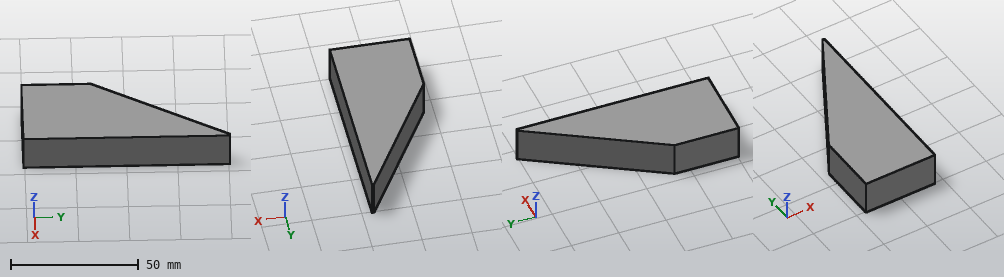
import cadquery as cq
import math

length = 81.0
width = 32.0
thickness = 15.0
short_side = 27.1
taper_angle = 30.0

taper_run = (length - short_side) * math.tan(math.radians(taper_angle))
tip_width = width - taper_run

outline = [
    (0, 0),
    (width, 0),
    (width, length),
    (width - tip_width, length),
    (0, short_side),
]
result = cq.Workplane("XY").polyline(outline).close().extrude(thickness)